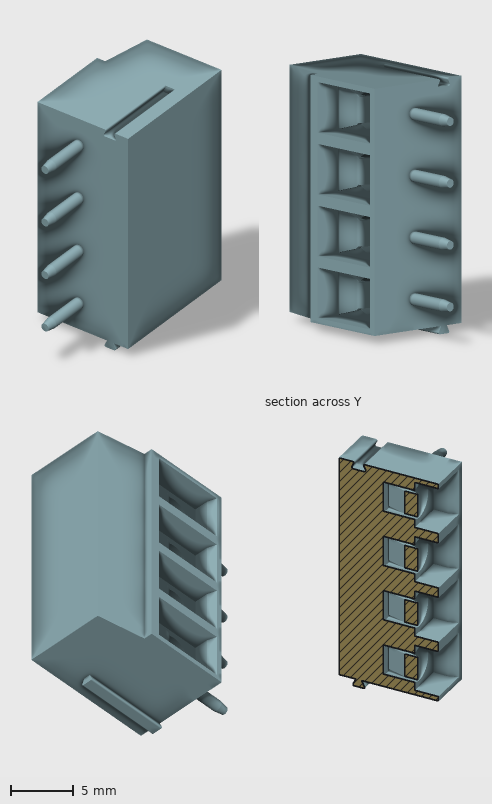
import cadquery as cq
import math


pole_count = 4
pole_pitch = 5.0
housing_width = 9.0
housing_depth = 12.5
housing_height = pole_count * pole_pitch
shoulder_y = 7.98
shoulder_x = 0.8
top_edge_x = 1.6

pin_x = 4.1
pin_diameter = 1.0
pin_tip_diameter = 0.7
pin_length = 4.5
pin_tip_length = 0.85

overall_height = 20.68
dovetail_x = 7.2
dovetail_height = overall_height - housing_height
dovetail_rounding = 0.12
tongue_neck_width = 0.58
tongue_wide_width = 1.25
dovetail_clearance = 0.06
groove_neck_width = tongue_neck_width + 2 * dovetail_clearance
groove_wide_width = tongue_wide_width + 2 * dovetail_clearance

pocket_depth = 2.13
pocket_height = 4.1
pocket_near_y = 0.55
lead_in_width = 0.27
lead_in_depth = 0.85
pocket_far_y = 7.11

hole_y = 3.27
hole_diameter = 3.02

guard_thickness = 0.4
guard_start_radius = 0.41
guard_fold_radius = 0.48
guard_start_y = 6.8
guard_fold_y = 4.32
guard_end_y = 3.15
guard_start_angle = 72
guard_leg_angle = 74
guard_wide_height = 3.89
guard_fold_height = 2.48
guard_leg_height = 2.1
guard_notch_width = 0.17
leg_tip_gap = 0.25

guard_x = pocket_depth - guard_thickness
leg_angle = math.radians(guard_leg_angle)
start_angle = math.radians(guard_start_angle)
guard_flat_y = guard_start_y - guard_start_radius * math.sin(start_angle)


def bend_point(bend_y, signed_radius, angle):
    """Point on a bend that leaves the flat at bend_y; a positive radius bends towards +Y."""
    return (
        guard_x + abs(signed_radius) * (1 - math.cos(angle)),
        bend_y + signed_radius * math.sin(angle),
    )


leg_top_x, leg_top_y = bend_point(guard_fold_y, -guard_fold_radius, leg_angle)
leg_tip_x = leg_top_x + (leg_top_y - guard_end_y) * math.tan(leg_angle)
leg_back_x = leg_tip_x + guard_thickness * math.cos(leg_angle)
leg_back_y = guard_end_y + guard_thickness * math.sin(leg_angle)
leg_back_top_y = leg_back_y + (leg_back_x - pocket_depth) / math.tan(leg_angle)
hole_floor_x = leg_back_x + leg_tip_gap


def make_housing():
    outline = [
        (0, 0),
        (housing_width, 0),
        (housing_width, housing_depth),
        (top_edge_x, housing_depth),
        (shoulder_x, shoulder_y),
        (0, shoulder_y),
    ]
    return cq.Workplane("XY").polyline(outline).close().extrude(housing_height)


def make_dovetail(neck_width, wide_width, top_z):
    """Dovetail bar that hangs down from top_z, its two lower edges rounded."""
    bar = (
        cq.Workplane("XZ")
        .polyline([
            (dovetail_x - neck_width / 2, top_z),
            (dovetail_x + neck_width / 2, top_z),
            (dovetail_x + wide_width / 2, top_z - dovetail_height),
            (dovetail_x - wide_width / 2, top_z - dovetail_height),
        ])
        .close()
        .extrude(-shoulder_y)
    )
    return bar.faces("<Z").edges("|Y").fillet(dovetail_rounding)


def cut_groove(body):
    """Cut the dovetail groove and round the two edges of its mouth."""
    body = body.cut(make_dovetail(groove_neck_width, groove_wide_width, housing_height))
    mouth = cq.selectors.BoxSelector(
        (dovetail_x - groove_neck_width, 0, housing_height - dovetail_rounding),
        (dovetail_x + groove_neck_width, shoulder_y, housing_height + dovetail_rounding),
    )
    return body.edges(mouth).edges("|Y").fillet(dovetail_rounding)


def make_pin(z):
    """Round solder pin with a tapered tip, pointing towards -Y."""
    shank_end_y = pin_tip_length - pin_length
    radius = pin_diameter / 2
    profile = [
        (0, 0),
        (radius, 0),
        (radius, shank_end_y),
        (pin_tip_diameter / 2, -pin_length),
        (0, -pin_length),
    ]
    pin = cq.Workplane("XY").polyline(profile).close().revolve(360, (0, 0), (0, 1))
    return pin.rotate((0, 0, 0), (0, 1, 0), 180).translate((pin_x, 0, z))


def make_pocket(z):
    """Wire-entry pocket with a lead-in slope on the wall nearest the pins, and its wire hole."""
    outline = [
        (0, pocket_near_y),
        (lead_in_depth, pocket_near_y + lead_in_width),
        (pocket_depth, pocket_near_y + lead_in_width),
        (pocket_depth, pocket_far_y),
        (0, pocket_far_y),
    ]
    recess = (
        cq.Workplane("XY", origin=(0, 0, z))
        .polyline(outline)
        .close()
        .extrude(pocket_height / 2, both=True)
    )
    floor = cq.Plane(origin=(pocket_depth, hole_y, z), xDir=(0, 0, -1), normal=(1, 0, 0))
    hole = cq.Workplane(floor).circle(hole_diameter / 2).extrude(hole_floor_x - pocket_depth)
    return recess.union(hole)


def make_guard(z):
    """Wire guard: the bent side profile, trimmed to its tapering face outline."""
    profile = (
        cq.Workplane("XY", origin=(0, 0, z))
        .moveTo(pocket_depth, guard_start_y)
        .lineTo(*bend_point(guard_flat_y, guard_start_radius, start_angle))
        .threePointArc(
            bend_point(guard_flat_y, guard_start_radius, start_angle / 2),
            (guard_x, guard_flat_y),
        )
        .lineTo(guard_x, guard_fold_y)
        .threePointArc(
            bend_point(guard_fold_y, -guard_fold_radius, leg_angle / 2),
            (leg_top_x, leg_top_y),
        )
        .lineTo(leg_tip_x, guard_end_y)
        .lineTo(leg_back_x, leg_back_y)
        .lineTo(pocket_depth, leg_back_top_y)
        .close()
        .extrude(guard_wide_height / 2, both=True)
    )
    upper_edge = [
        (guard_start_y, guard_wide_height / 2),
        (guard_fold_y, guard_fold_height / 2),
        (guard_fold_y - guard_notch_width, guard_leg_height / 2),
        (guard_end_y, guard_leg_height / 2),
    ]
    lower_edge = [(y, -height) for y, height in reversed(upper_edge)]
    face_outline = (
        cq.Workplane("YZ", origin=(0, 0, z))
        .polyline(upper_edge + lower_edge)
        .close()
        .extrude(hole_floor_x)
    )
    return profile.intersect(face_outline)


result = cut_groove(make_housing())
result = result.union(make_dovetail(tongue_neck_width, tongue_wide_width, 0))

for pole in range(pole_count):
    pole_z = (pole + 0.5) * pole_pitch
    result = result.cut(make_pocket(pole_z))
    result = result.union(make_guard(pole_z))
    result = result.union(make_pin(pole_z))